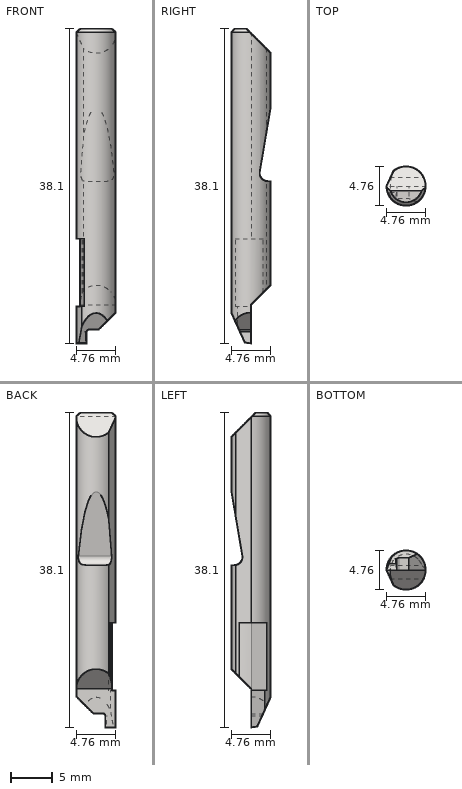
import cadquery as cq
import math

length = 38.1
radius = 2.38
end_chamfer = 0.42
end_bevel_y = -0.57
side_flat_y = 1.83

notch_top = 28.55
notch_bottom = 19.65
notch_angle = math.radians(9.6)
notch_radius = 0.95

relief_top = 12.65
relief_bottom = 4.5
relief_x = -1.95
relief_front = (-1.45, -1.9)
relief_back_y = 1.43
relief_arc_radius = 4.2

rake_top = 4.7
side_clearance_x = -1.7
front_clearance_top = 3.7
tip_depth = 0.75
tip_rise = 0.1
shoulder_z = 1.68
shoulder_x = 0.3
shoulder_bevel = radius - shoulder_x
tooth_x = -1.1
tooth_taper = 0.095
corner_radius = 0.23
margin = 1.9
outside = radius + margin


def circle_coordinate(other):
    """Absolute coordinate on the shank circle for the other coordinate."""
    return math.sqrt(radius**2 - other**2)


def plan_prism(points, bottom, top):
    return cq.Workplane("XY").workplane(offset=bottom).polyline(points).close().extrude(top - bottom)


def cross_prism(profile):
    """Extrude a closed YZ profile through the full shank width."""
    return profile.close().extrude(outside, both=True)


def make_shank():
    shank = cq.Workplane("XY").circle(radius).extrude(length).faces(">Z").chamfer(end_chamfer)
    end_bevel = cross_prism(cq.Workplane("YZ").polyline([
        (end_bevel_y, length),
        (outside, length - outside + end_bevel_y),
        (outside, length),
    ]))
    flat = plan_prism([
        (-radius, 0),
        (-circle_coordinate(side_flat_y), side_flat_y),
        (-outside, side_flat_y),
        (-outside, 0),
    ], 0, length)
    return shank.cut(end_bevel).cut(flat)


def make_notch():
    center_z = notch_bottom + notch_radius
    sine, cosine = math.sin(notch_angle), math.cos(notch_angle)
    tangent_z = center_z + notch_radius * sine
    tangent_y = radius - (notch_top - tangent_z) * math.tan(notch_angle)
    center_y = tangent_y + notch_radius * cosine
    mid_angle = (math.pi / 2 - notch_angle) / 2
    arc_mid = (
        center_y - notch_radius * math.cos(mid_angle),
        center_z - notch_radius * math.sin(mid_angle),
    )
    profile = (
        cq.Workplane("YZ")
        .moveTo(outside, notch_bottom)
        .lineTo(center_y, notch_bottom)
        .threePointArc(arc_mid, (tangent_y, tangent_z))
        .lineTo(outside, notch_top + margin / math.tan(notch_angle))
    )
    return cross_prism(profile)


def make_relief():
    def arc_point(y):
        sag = relief_arc_radius - math.sqrt(relief_arc_radius**2 - y**2)
        return relief_x + sag, y

    return (
        cq.Workplane("XY").workplane(offset=relief_bottom)
        .moveTo(-outside, relief_front[1])
        .lineTo(*relief_front)
        .lineTo(relief_x, 0)
        .threePointArc(arc_point(relief_back_y / 2), arc_point(relief_back_y))
        .lineTo(-outside, relief_back_y)
        .close()
        .extrude(relief_top - relief_bottom)
    )


def cut_rake_and_clearances(body):
    rake = cross_prism(cq.Workplane("YZ").polyline([
        (0, 0),
        (0, rake_top),
        (outside, rake_top + outside),
        (outside, 0),
    ]))
    clearance = cross_prism(cq.Workplane("YZ").polyline([
        (0, 0),
        (-tip_depth, tip_rise),
        (-radius, front_clearance_top),
        (-outside, front_clearance_top),
        (-outside, 0),
    ]))
    side_end_y = -circle_coordinate(side_clearance_x)
    side_clearance = plan_prism([
        (-radius, 0),
        (side_clearance_x, side_end_y),
        (-outside, side_end_y),
        (-outside, 0),
    ], 0, relief_bottom)
    return body.cut(rake).cut(clearance).cut(side_clearance)


def cut_tooth_shoulder(body):
    corner_z = shoulder_z - corner_radius
    arc_offset = corner_radius * (1 - math.sqrt(0.5))
    shoulder = (
        cq.Workplane("XZ")
        .moveTo(tooth_x, 0)
        .lineTo(tooth_x, corner_z)
        .threePointArc((tooth_x + arc_offset, shoulder_z - arc_offset),
                       (tooth_x + corner_radius, shoulder_z))
        .lineTo(shoulder_x, shoulder_z)
        .lineTo(outside, shoulder_z + shoulder_bevel + margin)
        .lineTo(outside, 0)
        .close()
        .extrude(outside, both=True)
    )
    tooth_side = plan_prism([
        (tooth_x, 0),
        (tooth_x - tooth_taper, -tip_depth),
        (tooth_x - tooth_taper * outside / tip_depth, -outside),
        (tooth_x, -outside),
    ], 0, corner_z)
    return body.cut(shoulder).cut(tooth_side)


body = make_shank().cut(make_notch()).cut(make_relief())
body = cut_rake_and_clearances(body)
result = cut_tooth_shoulder(body)